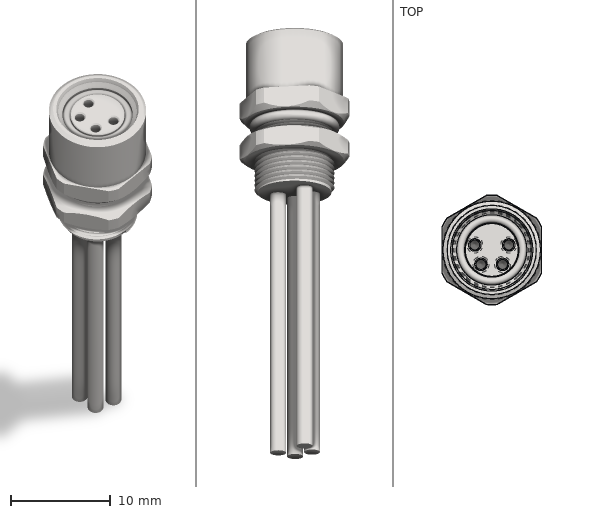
import cadquery as cq
import math

TOTAL_LENGTH = 43.2
SHOULDER_Z = -6.35
SEAT_Z = -8.5
NUT_TOP_Z = -10.45
NUT_THICKNESS = 2.1
THREAD_END_Z = -15.9

SHELL_RADIUS = 4.87
RIM_OUTER_RADIUS = 4.45
RIM_CHAMFER_HEIGHT = 0.25
MOUTH_RADIUS = 4.12
MOUTH_TAPER_RADIUS = 3.95
MOUTH_DEPTH = 0.4
SOCKET_RADIUS = 3.52
SOCKET_TAPER_DEPTH = 0.8
INSERT_RADIUS = 2.72
INSERT_DEPTH = 0.8
INSERT_CHAMFER = 0.08
SEAL_SECTION_RADIUS = (SOCKET_RADIUS - INSERT_RADIUS) / 2
SEAL_DEPTH = 1.25

HEX_FLATS = 10.0
HEX_ACROSS_CORNERS = HEX_FLATS / math.cos(math.pi / 6)
HEX_CORNER_RADIUS = 5.5
HEX_CHAMFER_RADIUS = 4.95
FLANGE_CHAMFER_ANGLE = 45.0
NUT_CHAMFER_ANGLE = 30.0

RING_RADIUS = 4.5
RING_SECTION_RADIUS = 0.5

THREAD_RADIUS = 4.0
THREAD_PITCH = 0.5
THREAD_DEPTH = 0.3
THREAD_TOP_Z = -9.2
THREAD_CORE = THREAD_RADIUS - THREAD_DEPTH
RIDGE_OVERLAP = 0.03
RIDGE_ROOT_RADIUS = THREAD_CORE - RIDGE_OVERLAP
RIDGE_ROOT_WIDTH = 0.45

CONTACT_POSITIONS = [(-1.7, 0.5), (1.7, 0.5), (-1.08, -1.45), (1.08, -1.45)]
CONTACT_RADIUS = 0.5
CONTACT_MOUTH_RADIUS = 0.63
CONTACT_DEPTH = 3.0
CONTACT_POINT_ANGLE = 90.0
WIRE_RADIUS = 0.8
WIRE_OVERLAP = 0.5


def revolved(points):
    """Solid of revolution about Z from (radius, height) points."""
    return cq.Workplane("XZ").polyline(points).close().revolve(360, (0, 0, 0), (0, 1, 0))


def cylinder(radius, bottom, top):
    """Cylinder on the Z axis between two heights."""
    return cq.Workplane("XY").workplane(offset=bottom).circle(radius).extrude(top - bottom)


def hexagon(bottom, top, chamfer_angle, chamfer_top):
    """Hexagon with corners at +Y and -Y, turned down to a chamfered envelope."""
    drop = (HEX_CORNER_RADIUS - HEX_CHAMFER_RADIUS) * math.tan(math.radians(chamfer_angle))
    prism = (
        cq.Workplane("XY")
        .workplane(offset=bottom)
        .transformed(rotate=(0, 0, 90))
        .polygon(6, HEX_ACROSS_CORNERS)
        .extrude(top - bottom)
    )
    outline = [(0, bottom), (HEX_CHAMFER_RADIUS, bottom), (HEX_CORNER_RADIUS, bottom + drop)]
    if chamfer_top:
        outline += [(HEX_CORNER_RADIUS, top - drop), (HEX_CHAMFER_RADIUS, top), (0, top)]
    else:
        outline += [(HEX_CORNER_RADIUS, top), (0, top)]
    return prism.intersect(revolved(outline))


def make_shell():
    """Shell with its socket, the top half of the seal and the contact insert."""
    outline = (
        cq.Workplane("XZ")
        .moveTo(0, SHOULDER_Z)
        .lineTo(SHELL_RADIUS, SHOULDER_Z)
        .lineTo(SHELL_RADIUS, -RIM_CHAMFER_HEIGHT)
        .lineTo(RIM_OUTER_RADIUS, 0)
        .lineTo(MOUTH_RADIUS, 0)
        .lineTo(MOUTH_TAPER_RADIUS, -MOUTH_DEPTH)
        .lineTo(SOCKET_RADIUS, -SOCKET_TAPER_DEPTH)
        .lineTo(SOCKET_RADIUS, -SEAL_DEPTH)
        .threePointArc(
            (SOCKET_RADIUS - SEAL_SECTION_RADIUS, SEAL_SECTION_RADIUS - SEAL_DEPTH),
            (INSERT_RADIUS, -SEAL_DEPTH),
        )
        .lineTo(INSERT_RADIUS, -INSERT_DEPTH - INSERT_CHAMFER)
        .lineTo(INSERT_RADIUS - INSERT_CHAMFER, -INSERT_DEPTH)
        .lineTo(0, -INSERT_DEPTH)
        .close()
    )
    return outline.revolve(360, (0, 0, 0), (0, 1, 0))


def make_contact_hole():
    """Blind hole on the Z axis with a 45 degree countersink and a conical bottom."""
    bottom = -INSERT_DEPTH - CONTACT_DEPTH
    countersink_depth = CONTACT_MOUTH_RADIUS - CONTACT_RADIUS
    return revolved([
        (0, 0),
        (CONTACT_MOUTH_RADIUS, 0),
        (CONTACT_MOUTH_RADIUS, -INSERT_DEPTH),
        (CONTACT_RADIUS, -INSERT_DEPTH - countersink_depth),
        (CONTACT_RADIUS, bottom),
        (0, bottom - CONTACT_RADIUS / math.tan(math.radians(CONTACT_POINT_ANGLE / 2))),
    ])


def make_sealing_ring():
    """Round-section ring resting against the underside of the fixed hexagon."""
    center_radius = RING_RADIUS - RING_SECTION_RADIUS
    section = cq.Workplane("XZ").center(center_radius, SEAT_Z - RING_SECTION_RADIUS)
    return section.circle(RING_SECTION_RADIUS).revolve(360, (-center_radius, 0, 0), (-center_radius, 1, 0))


def make_thread():
    """Core cylinder with a right-hand helical V ridge whose root is sunk into the core."""
    core = cylinder(THREAD_CORE, THREAD_END_Z, SEAT_Z)
    half_width = RIDGE_ROOT_WIDTH / 2
    start = THREAD_END_Z + half_width
    height = THREAD_TOP_Z - start
    helix = cq.Wire.makeHelix(THREAD_PITCH, height, RIDGE_ROOT_RADIUS, center=cq.Vector(0, 0, start))
    ridge = (
        cq.Workplane("XZ")
        .polyline([
            (RIDGE_ROOT_RADIUS, start - half_width),
            (THREAD_RADIUS, start),
            (RIDGE_ROOT_RADIUS, start + half_width),
        ])
        .close()
        .sweep(cq.Workplane(helix), isFrenet=True)
    )
    return core.union(ridge)


body = make_shell()
body = body.union(hexagon(SEAT_Z, SHOULDER_Z, FLANGE_CHAMFER_ANGLE, False))
body = body.union(make_thread())
body = body.union(make_sealing_ring())
body = body.union(hexagon(NUT_TOP_Z - NUT_THICKNESS, NUT_TOP_Z, NUT_CHAMFER_ANGLE, True))
for x, y in CONTACT_POSITIONS:
    wire = cylinder(WIRE_RADIUS, -TOTAL_LENGTH, THREAD_END_Z + WIRE_OVERLAP)
    body = body.union(wire.translate((x, y, 0)))
    body = body.cut(make_contact_hole().translate((x, y, 0)))

result = cq.Workplane(body.solids().val())